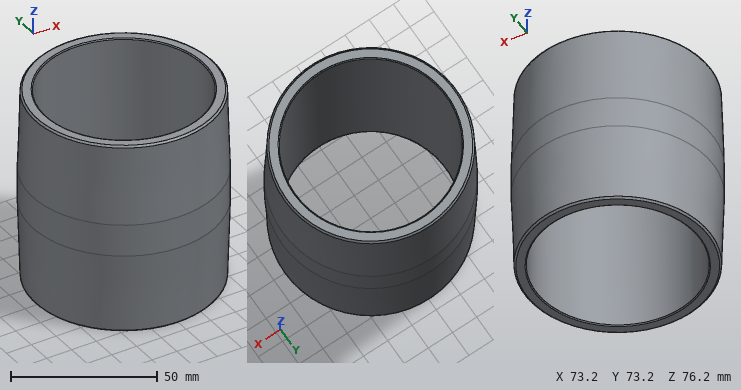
import cadquery as cq

length = 76.2
band_diameter = 73.15
bore_diameter = 62.7

band_width = 12.7

pipe_taper = 1 / 16

outer_chamfer = 0.7
bore_chamfer = 0.4

half_length = length / 2
half_band = band_width / 2
taper_end_height = half_length - outer_chamfer
bore_end_height = half_length - bore_chamfer

band_radius = band_diameter / 2
bore_radius = bore_diameter / 2
taper_end_radius = band_radius - (taper_end_height - half_band) * pipe_taper / 2
face_outer_radius = taper_end_radius - outer_chamfer
face_inner_radius = bore_radius + bore_chamfer


def make_nipple():
    """Revolve the wall section, given as (radius, height) points, about Z."""
    upper_outline = [
        (band_radius, half_band),
        (taper_end_radius, taper_end_height),
        (face_outer_radius, half_length),
        (face_inner_radius, half_length),
        (bore_radius, bore_end_height),
    ]
    lower_outline = [(radius, -height) for radius, height in reversed(upper_outline)]
    section = cq.Workplane("XZ").polyline(upper_outline + lower_outline).close()
    return section.revolve(360, (0, 0, 0), (0, 1, 0))


result = make_nipple()